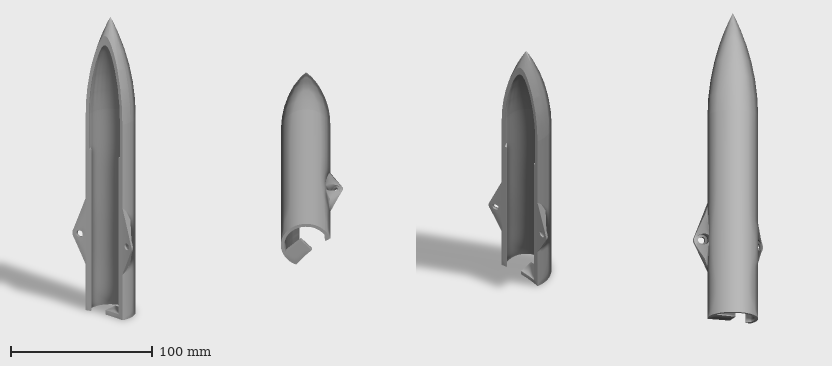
import cadquery as cq
import math

total_height = 224.8
tube_height = 148.8
outer_radius = 18
wall = 2.5
bore_radius = outer_radius - wall
nose_height = total_height - tube_height
ogive_radius = (outer_radius**2 + nose_height**2) / (2 * outer_radius)
ogive_center_x = outer_radius - ogive_radius

trim_radius = 86.5
front_y = -5.8
trim_center_y = front_y - trim_radius

lip_height = 122.7
mouth_half_width = 12.5
lip_back_y = -2.2

floor_thickness = 3.4
floor_back_y = 5.5

ear_z = 57.3
ear_span = 52.8
ear_tip_x = ear_span / 2
hole_x = 21.1
hole_radius = 2.5
ear_tip_radius = ear_tip_x - hole_x
ear_root_x = 16.5
ear_top_z = 85.5
ear_bottom_z = 34.6
ear_thickness = 1.8
gusset_back_y = -0.7
gusset_tip_x = 24.7
screw_head_radius = 4.0


def ogive_body(radius):
    """Solid of the given tube radius, in two halves, its nose concentric with the outer ogive."""
    arc_radius = radius - ogive_center_x
    tip_angle = math.acos(-ogive_center_x / arc_radius)
    middle = (
        ogive_center_x + arc_radius * math.cos(tip_angle / 2),
        tube_height + arc_radius * math.sin(tip_angle / 2),
    )
    tip = (0, tube_height + arc_radius * math.sin(tip_angle))
    half = (
        cq.Workplane("XZ")
        .lineTo(radius, 0)
        .lineTo(radius, tube_height)
        .threePointArc(middle, tip)
        .close()
        .revolve(180, (0, 0), (0, 1))
    )
    return half.union(half.mirror("XZ"), clean=False)


def trim_cylinder(radius):
    return cq.Workplane("XY").center(0, trim_center_y).circle(radius).extrude(total_height)


def tangent_point(root_z):
    """Point where the straight ear edge from its root meets the rounded ear tip."""
    root_dx = ear_root_x - hole_x
    root_dz = root_z - ear_z
    side = math.copysign(1, root_dz)
    swing = math.acos(ear_tip_radius / math.hypot(root_dx, root_dz))
    angle = math.atan2(root_dz, root_dx) - side * swing
    return (
        hole_x + ear_tip_radius * math.cos(angle),
        ear_z + ear_tip_radius * math.sin(angle),
    )


def right_ear():
    outline = (
        cq.Workplane("XZ")
        .moveTo(bore_radius, ear_bottom_z)
        .lineTo(ear_root_x, ear_bottom_z)
        .lineTo(*tangent_point(ear_bottom_z))
        .threePointArc((ear_tip_x, ear_z), tangent_point(ear_top_z))
        .lineTo(ear_root_x, ear_top_z)
        .lineTo(bore_radius, ear_top_z)
        .close()
        .extrude(outer_radius)
    )
    plate = trim_cylinder(trim_radius + ear_thickness)

    gusset_front_y = trim_center_y
    gusset = (
        cq.Workplane("XY")
        .polyline([
            (bore_radius, gusset_front_y),
            (bore_radius, gusset_back_y),
            (outer_radius, gusset_back_y),
            (gusset_tip_x, front_y - ear_thickness),
            (gusset_tip_x, gusset_front_y),
        ])
        .close()
        .extrude(total_height)
    )
    arch = (
        cq.Workplane("YZ")
        .moveTo(-outer_radius, ear_bottom_z)
        .lineTo(front_y, ear_bottom_z)
        .threePointArc((gusset_back_y, ear_z), (front_y, ear_top_z))
        .lineTo(-outer_radius, ear_top_z)
        .close()
        .extrude(ear_tip_x)
    )
    gusset = gusset.intersect(arch)
    hole_axis = cq.Workplane("XZ").center(hole_x, ear_z)
    gusset = gusset.cut(hole_axis.circle(screw_head_radius).extrude(outer_radius))
    ear = outline.intersect(plate.union(gusset))
    return ear.cut(hole_axis.circle(hole_radius).extrude(outer_radius))


def right_lip():
    return (
        cq.Workplane("XY")
        .polyline([
            (bore_radius, lip_back_y),
            (mouth_half_width, front_y),
            (mouth_half_width, -outer_radius),
            (outer_radius, -outer_radius),
            (outer_radius, lip_back_y),
        ])
        .close()
        .extrude(lip_height)
    )


def add(body, *extras):
    """Join solids, keeping the shell split in two halves along its axis."""
    for extra in extras:
        body = body.union(extra, clean=False)
    return body


outer_body = ogive_body(outer_radius)
shell = outer_body.cut(ogive_body(bore_radius), clean=False)

half_floor = (
    cq.Workplane("XY")
    .moveTo(0, -outer_radius)
    .lineTo(outer_radius, -outer_radius)
    .lineTo(outer_radius, floor_back_y)
    .lineTo(0, floor_back_y)
    .close()
    .extrude(floor_thickness)
)
lip = right_lip()
filling_body = ogive_body(outer_radius - wall / 2)
fillings = filling_body.intersect(half_floor.union(lip).union(lip.mirror("YZ")))
ear = right_ear()
body = add(shell, fillings, ear, ear.mirror("YZ"))
result = body.cut(trim_cylinder(trim_radius), clean=False).solids()